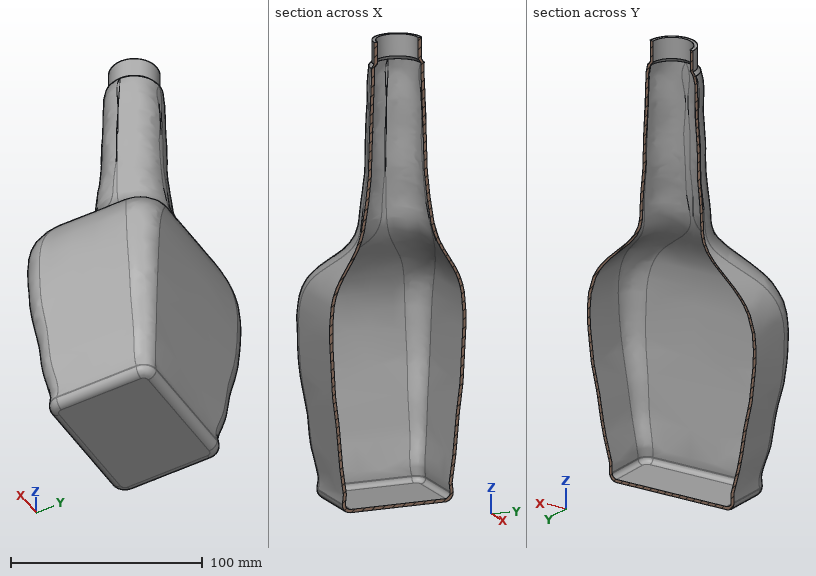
import cadquery as cq
import math

total_height = 253.0
wall = 2.0
mouth_radius = 27.0 / 2
bore_radius = 23.0 / 2
neck_top_radius = 15.2
neck_top_height = 239.0
collar_top_height = 241.0
foot_height = 5.3
foot_edge_radius = 4.8
smallest_flat = 0.05

base_half_width = 39.2
base_half_depth = 31.5
base_corner_radius = 7.5

body_sections = [
    (base_half_width, base_half_depth, base_corner_radius),
    (42.3, 32.6, 8.3),
    (45.5, 34.5, 9.4),
    (48.8, 36.2, 10.4),
    (51.9, 38.0, 11.5),
    (53.1, 38.7, 12.5),
    (51.9, 38.7, 13.5),
    (43.0, 35.2, 15.7),
    (25.8, 25.5, 19.2),
    (20.0, 20.0, 18.7),
    (19.0, 17.7, 17.2),
    (18.0, 16.5, 16.2),
    (17.5, 16.2, 16.0),
    (16.7, 15.7, 15.5),
    (neck_top_radius, neck_top_radius, neck_top_radius - smallest_flat),
]
section_spacing = (neck_top_height - foot_height) / (len(body_sections) - 1)


def rounded_block(height, half_width, half_depth, corner_radius):
    """Upright block with rounded vertical corners, standing on the XY plane."""
    block = cq.Workplane("XY").box(2 * half_width, 2 * half_depth, height, centered=(True, True, False))
    return block.edges("|Z").fillet(corner_radius)


def section_wire(height, half_width, half_depth, corner_radius):
    """Rounded-rectangle outline at the given height, always starting on the same side."""
    flat_x = half_width - corner_radius
    flat_y = half_depth - corner_radius
    diagonal = corner_radius * math.sqrt(0.5)
    outline = cq.Workplane("XY").workplane(offset=height).moveTo(-flat_x, -half_depth)
    outline = outline.lineTo(flat_x, -half_depth)
    outline = outline.threePointArc((flat_x + diagonal, -flat_y - diagonal), (half_width, -flat_y))
    outline = outline.lineTo(half_width, flat_y)
    outline = outline.threePointArc((flat_x + diagonal, flat_y + diagonal), (flat_x, half_depth))
    outline = outline.lineTo(-flat_x, half_depth)
    outline = outline.threePointArc((-flat_x - diagonal, flat_y + diagonal), (-half_width, flat_y))
    outline = outline.lineTo(-half_width, -flat_y)
    outline = outline.threePointArc((-flat_x - diagonal, -flat_y - diagonal), (-flat_x, -half_depth))
    return outline.close().val()


def body(inset):
    """Smooth body and neck, with every section moved inward by the inset."""
    wires = []
    for index, (half_width, half_depth, corner_radius) in enumerate(body_sections):
        height = foot_height + index * section_spacing
        wires.append(section_wire(height, half_width - inset, half_depth - inset, corner_radius - inset))
    return cq.Workplane(cq.occ_impl.shapes.loft(*wires, cap=True))


def foot(inset):
    """Straight foot with a rounded bottom edge, moved inward and up by the inset."""
    block = rounded_block(
        foot_height - inset,
        base_half_width - inset,
        base_half_depth - inset,
        base_corner_radius - inset,
    )
    block = block.faces("<Z").edges().fillet(foot_edge_radius - inset)
    return block.translate((0, 0, inset))


def mouth(shoulder_radius, tube_radius):
    """Short cone above the neck followed by the straight mouth tube."""
    profile = [
        (0, neck_top_height),
        (shoulder_radius, neck_top_height),
        (tube_radius, collar_top_height),
        (tube_radius, total_height),
        (0, total_height),
    ]
    return cq.Workplane("XZ").polyline(profile).close().revolve(360, (0, 0, 0), (0, 1, 0))


body_shell = body(0).cut(body(wall))
foot_shell = foot(0).cut(foot(wall))
mouth_shell = mouth(neck_top_radius, mouth_radius).cut(mouth(neck_top_radius - wall, bore_radius))

result = body_shell.union(foot_shell).union(mouth_shell)